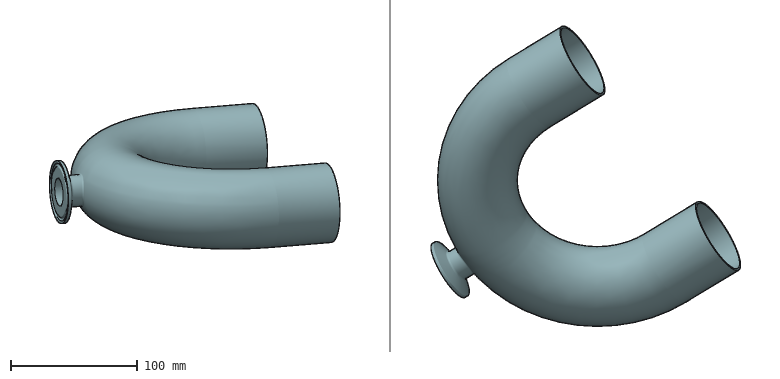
import cadquery as cq
import math

tube_diameter = 63.5
tube_bore = 60.2
bend_radius = 95.2
leg_length = 50.8

port_diameter = 25.5
port_bore = 22.0
port_face_distance = 143.0
port_root_fillet = 1.3

flange_diameter = 50.3
rim_thickness = 2.8
flange_back_angle = 20.0
rim_back_fillet = 0.64
flange_neck_length = 12.7
flange_neck_fillet = 1.5

groove_outer_diameter = 46.0
groove_inner_diameter = 41.0
groove_depth = 1.5
groove_lip_fillet = 0.8


def bent_rod(diameter):
    """Solid round bar following the centreline of the main tube."""
    centreline = (
        cq.Workplane("XY")
        .moveTo(-bend_radius, leg_length)
        .lineTo(-bend_radius, 0)
        .threePointArc((0, -bend_radius), (bend_radius, 0))
        .lineTo(bend_radius, leg_length)
    )
    start = cq.Workplane("XZ", origin=(-bend_radius, leg_length, 0))
    return start.circle(diameter / 2).sweep(centreline)


def port_rod(diameter):
    """Solid round bar from the centreline of the bend to the flange face."""
    start = cq.Workplane("XZ", origin=(0, -bend_radius, 0))
    return start.circle(diameter / 2).extrude(port_face_distance - bend_radius)


def revolve_about_port(profile):
    """Turn a closed profile drawn in the XY plane about the port axis."""
    return profile.close().revolve(360, (0, 0, 0), (0, 1, 0))


def clamp_flange():
    """Flange disc with a conical back, a neck stub and a gasket groove in its face."""
    rim_radius = flange_diameter / 2
    neck_radius = port_diameter / 2
    face = -port_face_distance
    rim_back = face + rim_thickness
    neck_end = face + flange_neck_length
    slope = math.radians(flange_back_angle)
    cone_end = rim_back + (rim_radius - neck_radius) * math.tan(slope)

    flange = revolve_about_port(
        cq.Workplane("XY")
        .moveTo(0, face)
        .lineTo(rim_radius, face)
        .lineTo(rim_radius, rim_back)
        .lineTo(neck_radius, cone_end)
        .lineTo(neck_radius, neck_end)
        .lineTo(0, neck_end)
    )
    cone_end_edge = cq.selectors.RadiusNthSelector(0)
    flange = flange.edges(cone_end_edge).edges("<Y").fillet(flange_neck_fillet)
    rim_back_edge = cq.selectors.RadiusNthSelector(-1)
    flange = flange.edges(rim_back_edge).edges(">Y").fillet(rim_back_fillet)
    flange = flange.cut(gasket_groove())
    groove_lips = cq.selectors.RadiusNthSelector(0) + cq.selectors.RadiusNthSelector(1)
    return flange.faces("<Y").edges(groove_lips).fillet(groove_lip_fillet)


def gasket_groove():
    """Ring of rounded section to cut into the flange face."""
    face = -port_face_distance
    inner_radius = groove_inner_diameter / 2
    outer_radius = groove_outer_diameter / 2
    middle_radius = (inner_radius + outer_radius) / 2
    return revolve_about_port(
        cq.Workplane("XY")
        .moveTo(inner_radius, face)
        .threePointArc((middle_radius, face + groove_depth), (outer_radius, face))
    )


body = bent_rod(tube_diameter).union(port_rod(port_diameter))
bend_outer_radius = bend_radius + tube_diameter / 2
root_edge = cq.selectors.NearestToPointSelector((0, -bend_outer_radius, 0))
body = body.edges(root_edge).fillet(port_root_fillet)

body = body.union(clamp_flange())
body = body.cut(bent_rod(tube_bore))
result = body.cut(port_rod(port_bore))